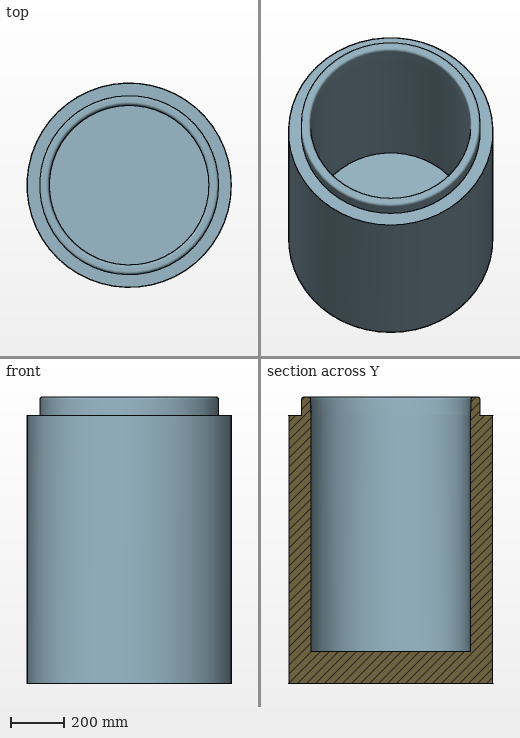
import cadquery as cq

total_height = 1074.0
body_diameter = 766.0
neck_diameter = 670.0
neck_height = 70.0
rim_fillet = 11.0
mouth_diameter = 601.0
bore_diameter = 597.0
floor_thickness = 120.0

body_radius = body_diameter / 2
neck_radius = neck_diameter / 2
mouth_radius = mouth_diameter / 2
bore_radius = bore_diameter / 2
shoulder_z = total_height - neck_height


def make_shell():
    """Round body with a narrower neck."""
    body = cq.Workplane("XY").circle(body_radius).extrude(shoulder_z)
    neck = body.faces(">Z").workplane().circle(neck_radius).extrude(neck_height)
    return neck


def make_cavity():
    """Blind bore above the floor, widening conically to the mouth."""
    half_profile = (
        cq.Workplane("XZ")
        .moveTo(0, floor_thickness)
        .lineTo(bore_radius, floor_thickness)
        .lineTo(bore_radius, shoulder_z)
        .lineTo(mouth_radius, total_height)
        .lineTo(0, total_height)
        .close()
    )
    return half_profile.revolve(360, (0, 0, 0), (0, 1, 0))


result = make_shell().cut(make_cavity()).faces(">Z").edges().fillet(rim_fillet)